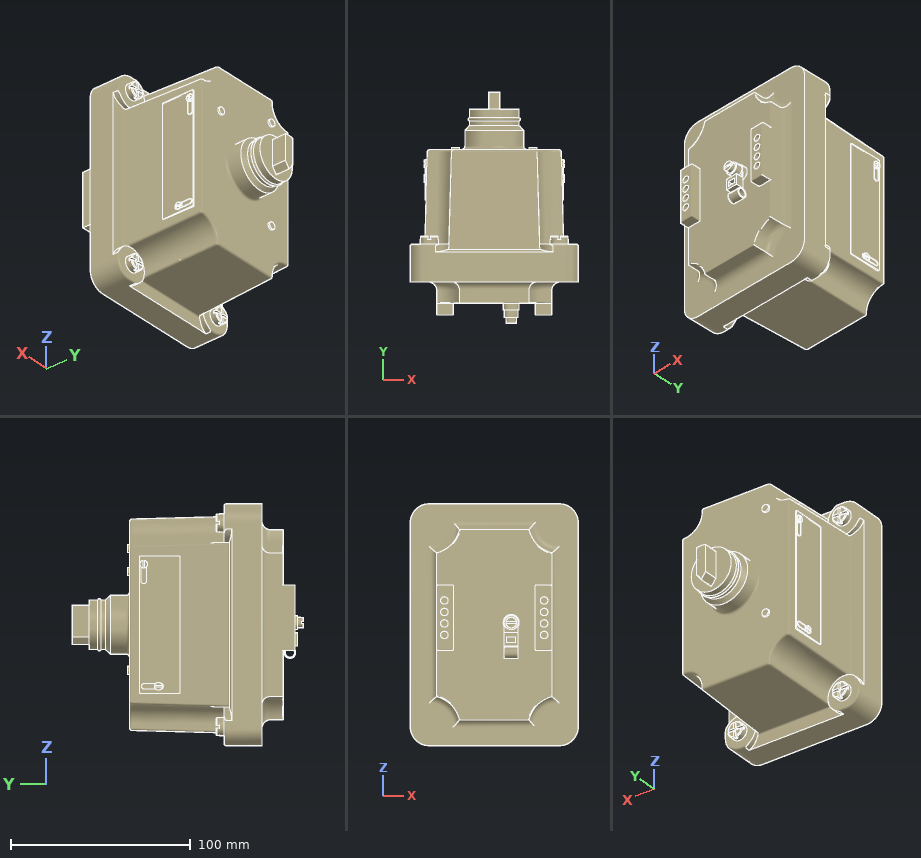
import cadquery as cq
import math

FLANGE_EDGE_Y = 16.9
FLANGE_CREST_Y = 18.1
PAD_Y = 21.2
BODY_REAR_Y = 73.9
COLLAR_REAR_Y = 96.3
SHAFT_REAR_Y = 105.7
BOSS_Y = -11.9
BLOCK_Y = -18.3

FLANGE_X = 93.7
FLANGE_Z = 134.9
CORNER_R = 10.7
CORNER_X = FLANGE_X / 2 - CORNER_R
CORNER_Z = FLANGE_Z / 2 - CORNER_R
FLANGE_SLOPE_RUN = 5.7
PAD_R = 11.2
PAD_ROUND = 1.3
SCREW_R = 5.06
SCREW_HEIGHT = 4.6
SCREW_CHAMFER = 0.5
SCREW_SLOT_WIDTH = 1.5
SCREW_SLOT_DEPTH = 2.2

BODY_X = 77.7
BODY_Z = 120.8
BODY_NOTCH_R = 10.9
BODY_TAPER = 1.5
BODY_EDGE_ROUND = 1.3
BODY_REAR_ROUND = 1.6
BODY_FOOT_ROUND = 1.1

BOSS_X = 64.2
BOSS_Z = 106.0
BOSS_NOTCH_R = 17.3
BOSS_FOOT_ROUND = 4.7
BOSS_EDGE_ROUND = 0.4

BLOCK_WIDTH = 9.3
BLOCK_TOP_Z = 22.3
BLOCK_BOTTOM_Z = -14.4
BLOCK_ROUND = 0.8
BLOCK_FRONT_ROUND = 0.5
SOCKET_COUNT = 4
SOCKET_PITCH = 6.4
SOCKET_R = 2.09
SOCKET_DEPTH = 4.0
SOCKET_INSET = 4.3

EARTH_X = 9.5
EARTH_Z = 1.2
EARTH_BASE_R = 4.5
EARTH_BASE_Y = -15.5
EARTH_HEAD_R = 3.9
EARTH_HEAD_Y = -19.8
EARTH_TIP_R = 3.0
EARTH_TIP_Y = -22.9
EARTH_SLOT_WIDTH = 1.0
EARTH_SLOT_DEPTH = 1.0
TAG_WIDTH = 7.8
TAG_THICKNESS = 0.7
TAG_BOX_TOP_Z = -4.5
TAG_BOX_BOTTOM_Z = -11.9
TAG_WINDOW_X = 5.0
TAG_WINDOW_Z = 3.1
TAG_WINDOW_CENTRE_Z = -8.4
TAG_LOOP_R = 3.2
TAG_LOOP_WALL = 0.7
TAG_LOOP_Z = -15.5

PLATE_FRONT_Y = 45.7
PLATE_REAR_Y = 68.2
PLATE_Z = 76.6
PLATE_PROUD_X = 38.5
PLATE_INNER_X = 35.0
PLATE_CORNER_R = 0.7
SLOT_WIDTH = 3.2
SLOT_DEPTH = 0.4
ADJUSTER_R = 2.2
ADJUSTER_PROUD_X = 39.1
ADJUSTER_GROOVE = 0.8
UPPER_ADJUSTER = (66.0, 33.7)
UPPER_SLOT_LENGTH = 12.4
LOWER_ADJUSTER = (57.7, -34.3)
LOWER_SLOT_LENGTH = 12.1
LOWER_SLOT_REAR_Y = 67.2

STUD_R = 2.3
STUD_HEIGHT = 1.1
STUDS = [(-21.6, 42.5), (21.6, 29.7), (-21.6, -25.4)]

COLLAR_R = 16.5
NECK_R = 13.9
COLLAR_FLARE = 1.8
COLLAR_CONE_Y = 84.4
NECK_Y = 87.3
GROOVE_FRONT_Y = 89.7
GROOVE_REAR_Y = 91.6
GROOVE_DEPTH = 0.7
SHAFT_R = 11.0
SHAFT_WIDTH = 6.3
SHAFT_SHOULDER_Z = -6.9

CORNERS = [(sx * CORNER_X, sz * CORNER_Z) for sx in (-1, 1) for sz in (-1, 1)]


def facing_front(y, x=0, z=0):
    """Work plane at depth y; extruding by a positive length goes toward the front."""
    return cq.Workplane("XZ", origin=(x, y, z))


def disc(radius, rear_y, front_y, x=0, z=0):
    return facing_front(rear_y, x, z).circle(radius).extrude(rear_y - front_y)


def box(x_range, y_range, z_range):
    size = [b - a for a, b in (x_range, y_range, z_range)]
    return cq.Workplane("XY").box(*size, centered=False).translate((x_range[0], y_range[0], z_range[0]))


def notched_outline(y, width, height, notch_r):
    """Rectangle whose corners are hollowed by arcs about the four flange screws."""
    half_x = width / 2
    half_z = height / 2
    flat_x = CORNER_X - math.sqrt(notch_r**2 - (half_z - CORNER_Z) ** 2)
    flat_z = CORNER_Z - math.sqrt(notch_r**2 - (half_x - CORNER_X) ** 2)
    mid_x = CORNER_X - notch_r * math.sqrt(0.5)
    mid_z = CORNER_Z - notch_r * math.sqrt(0.5)
    return (
        facing_front(y)
        .moveTo(-flat_x, half_z)
        .lineTo(flat_x, half_z)
        .threePointArc((mid_x, mid_z), (half_x, flat_z))
        .lineTo(half_x, -flat_z)
        .threePointArc((mid_x, -mid_z), (flat_x, -half_z))
        .lineTo(-flat_x, -half_z)
        .threePointArc((-mid_x, -mid_z), (-half_x, -flat_z))
        .lineTo(-half_x, flat_z)
        .threePointArc((-mid_x, mid_z), (-flat_x, half_z))
        .close()
    )


def make_flange_and_boss():
    """Square-cornered flange with a gently sloped rear face, and the front boss blended into it."""
    flange = facing_front(FLANGE_CREST_Y).rect(FLANGE_X, FLANGE_Z).extrude(FLANGE_CREST_Y)
    flange = flange.faces(">Y").chamfer(FLANGE_CREST_Y - FLANGE_EDGE_Y, FLANGE_SLOPE_RUN)
    boss = notched_outline(0, BOSS_X, BOSS_Z, BOSS_NOTCH_R).extrude(-BOSS_Y)
    boss = boss.faces("<Y").edges().fillet(BOSS_EDGE_ROUND)
    foot = cq.selectors.BoxSelector(
        (-FLANGE_X / 2 + 1.3, -0.1, -FLANGE_Z / 2 + 1.3), (FLANGE_X / 2 - 1.3, 0.1, FLANGE_Z / 2 - 1.3), boundingbox=True
    )
    return flange.union(boss).edges(foot).fillet(BOSS_FOOT_ROUND)


def make_body():
    """Notched body narrowing toward the rear, with rounded edges."""
    outline = notched_outline(0, BODY_X, BODY_Z, BODY_NOTCH_R)
    body = outline.extrude(BODY_REAR_Y - FLANGE_EDGE_Y, taper=BODY_TAPER)
    body = body.rotate((0, 0, 0), (1, 0, 0), 180).translate((0, FLANGE_EDGE_Y, 0))
    between_ends = cq.selectors.BoxSelector(
        (-BODY_X, FLANGE_EDGE_Y + 1.3, -BODY_Z), (BODY_X, BODY_REAR_Y - 1.3, BODY_Z)
    )
    body = body.edges(between_ends).fillet(BODY_EDGE_ROUND)
    return body.faces(">Y").edges().fillet(BODY_REAR_ROUND)


def make_corner_trim():
    """Surplus outside the rounded corners and the rounded rear rim of the screw pads."""
    envelope = facing_front(PAD_Y).rect(FLANGE_X, FLANGE_Z).extrude(PAD_Y).edges("|Y").fillet(CORNER_R)
    envelope = envelope.faces(">Y").edges().fillet(PAD_ROUND)
    margin = PAD_R
    around = facing_front(PAD_Y).rect(FLANGE_X + margin, FLANGE_Z + margin).extrude(PAD_Y)
    return around.cut(envelope)


def make_screw(x, z):
    """Screw head with a cross slot."""
    screw_rear = PAD_Y + SCREW_HEIGHT
    screw = disc(SCREW_R, screw_rear, PAD_Y, x, z).faces(">Y").chamfer(SCREW_CHAMFER)
    slot = facing_front(screw_rear, x, z).rect(SCREW_SLOT_WIDTH, 2 * SCREW_R).extrude(SCREW_SLOT_DEPTH)
    cross_slot = facing_front(screw_rear, x, z).rect(2 * SCREW_R, SCREW_SLOT_WIDTH).extrude(SCREW_SLOT_DEPTH)
    return screw.cut(slot).cut(cross_slot)


def make_block(side):
    """Terminal block at one side edge of the boss; side is -1 or 1."""
    outer = side * BOSS_X / 2
    inner = side * (BOSS_X / 2 - BLOCK_WIDTH)
    block = box(sorted((outer, inner)), (BLOCK_Y, BOSS_Y + BOSS_EDGE_ROUND), (BLOCK_BOTTOM_Z, BLOCK_TOP_Z))
    inner_face = "<X" if side > 0 else ">X"
    block = block.faces(inner_face).edges("|Y").fillet(BLOCK_ROUND)
    block = block.faces("<Y").edges().fillet(BLOCK_FRONT_ROUND)
    first_z = (BLOCK_TOP_Z + BLOCK_BOTTOM_Z - (SOCKET_COUNT - 1) * SOCKET_PITCH) / 2
    socket_x = side * (BOSS_X / 2 - SOCKET_INSET)
    for i in range(SOCKET_COUNT):
        socket = disc(SOCKET_R, BLOCK_Y + SOCKET_DEPTH, BLOCK_Y, socket_x, first_z + i * SOCKET_PITCH)
        block = block.cut(socket)
    return block


def make_earth_terminal():
    screw = disc(EARTH_BASE_R, BOSS_Y, EARTH_BASE_Y, EARTH_X, EARTH_Z)
    screw = screw.union(disc(EARTH_HEAD_R, EARTH_BASE_Y, EARTH_HEAD_Y, EARTH_X, EARTH_Z))
    screw = screw.union(disc(EARTH_TIP_R, EARTH_HEAD_Y, EARTH_TIP_Y, EARTH_X, EARTH_Z))
    screw = screw.cut(
        box(
            (EARTH_X - EARTH_TIP_R, EARTH_X + EARTH_TIP_R),
            (EARTH_TIP_Y, EARTH_TIP_Y + EARTH_SLOT_DEPTH),
            (EARTH_Z - EARTH_SLOT_WIDTH / 2, EARTH_Z + EARTH_SLOT_WIDTH / 2),
        )
    )
    span = (EARTH_X - TAG_WIDTH / 2, EARTH_X + TAG_WIDTH / 2)
    strip = box(span, (EARTH_BASE_Y, EARTH_BASE_Y + TAG_THICKNESS), (TAG_BOX_BOTTOM_Z, EARTH_Z))
    sleeve = box(span, (EARTH_HEAD_Y, EARTH_BASE_Y), (TAG_BOX_BOTTOM_Z, TAG_BOX_TOP_Z))
    window = (
        facing_front(EARTH_BASE_Y, EARTH_X, TAG_WINDOW_CENTRE_Z)
        .rect(TAG_WINDOW_X, TAG_WINDOW_Z)
        .extrude(EARTH_BASE_Y - EARTH_HEAD_Y)
    )
    loop = (
        cq.Workplane("YZ", origin=(span[0], EARTH_BASE_Y, TAG_LOOP_Z))
        .circle(TAG_LOOP_R)
        .extrude(TAG_WIDTH)
    )
    eye = (
        cq.Workplane("YZ", origin=(span[0], EARTH_BASE_Y, TAG_LOOP_Z))
        .circle(TAG_LOOP_R - TAG_LOOP_WALL)
        .extrude(TAG_WIDTH)
    )
    neck = box(
        span,
        (EARTH_BASE_Y - TAG_THICKNESS, EARTH_BASE_Y),
        (TAG_LOOP_Z + TAG_LOOP_R - TAG_LOOP_WALL, TAG_BOX_BOTTOM_Z),
    )
    tag = strip.union(sleeve.cut(window)).union(neck).union(loop).cut(eye)
    return screw.union(tag)


def side_plane(x):
    """Work plane facing +X at the given X; local axes are Y and Z."""
    return cq.Workplane("YZ", origin=(x, 0, 0))


def make_adjuster(place, groove_along_y):
    depth = ADJUSTER_PROUD_X - PLATE_INNER_X
    head = side_plane(PLATE_INNER_X).center(*place).circle(ADJUSTER_R).extrude(depth)
    length = 2 * ADJUSTER_R
    size = (length, ADJUSTER_GROOVE) if groove_along_y else (ADJUSTER_GROOVE, length)
    groove = side_plane(PLATE_PROUD_X).center(*place).rect(*size).extrude(depth)
    return head.cut(groove)


def make_side_plate():
    """Raised plate on the +X side, with an upright slot and a lengthwise slot."""
    plate = box((PLATE_INNER_X, PLATE_PROUD_X), (PLATE_FRONT_Y, PLATE_REAR_Y), (-PLATE_Z / 2, PLATE_Z / 2))
    plate = plate.edges("|X").fillet(PLATE_CORNER_R)
    floor_x = PLATE_PROUD_X - SLOT_DEPTH
    upper_y, upper_z = UPPER_ADJUSTER
    upper_mid_z = upper_z + SLOT_WIDTH / 2 - UPPER_SLOT_LENGTH / 2
    upper_slot = side_plane(floor_x).center(upper_y, upper_mid_z).slot2D(UPPER_SLOT_LENGTH, SLOT_WIDTH, 90)
    lower_mid_y = LOWER_SLOT_REAR_Y - LOWER_SLOT_LENGTH / 2
    lower_slot = side_plane(floor_x).center(lower_mid_y, LOWER_ADJUSTER[1]).slot2D(LOWER_SLOT_LENGTH, SLOT_WIDTH)
    plate = plate.cut(upper_slot.extrude(SLOT_DEPTH)).cut(lower_slot.extrude(SLOT_DEPTH))
    plate = plate.union(make_adjuster(UPPER_ADJUSTER, False))
    return plate.union(make_adjuster(LOWER_ADJUSTER, True))


def make_collar():
    """Turned collar with a conical shoulder, a round groove and a flared foot."""
    flare_start = BODY_REAR_Y + COLLAR_FLARE
    return (
        cq.Workplane("XY")
        .moveTo(0, BODY_REAR_Y)
        .lineTo(COLLAR_R + COLLAR_FLARE, BODY_REAR_Y)
        .radiusArc((COLLAR_R, flare_start), COLLAR_FLARE)
        .lineTo(COLLAR_R, COLLAR_CONE_Y)
        .lineTo(NECK_R, NECK_Y)
        .lineTo(NECK_R, GROOVE_FRONT_Y)
        .sagittaArc((NECK_R, GROOVE_REAR_Y), -GROOVE_DEPTH)
        .lineTo(NECK_R, COLLAR_REAR_Y)
        .lineTo(0, COLLAR_REAR_Y)
        .close()
        .revolve(360, (0, 0, 0), (0, 1, 0))
    )


def make_housing():
    housing = make_flange_and_boss().union(make_body())
    reach_x = BODY_X / 2 + 0.1
    reach_z = BODY_Z / 2 + 0.1
    foot = cq.selectors.BoxSelector(
        (-reach_x, FLANGE_CREST_Y - 0.1, -reach_z), (reach_x, FLANGE_CREST_Y + 0.1, reach_z), boundingbox=True
    )
    housing = housing.edges(foot).fillet(BODY_FOOT_ROUND)
    for x, z in CORNERS:
        housing = housing.union(disc(PAD_R, PAD_Y, 0, x, z))
    housing = housing.cut(make_corner_trim())
    for x, z in CORNERS:
        housing = housing.union(make_screw(x, z))
    housing = housing.union(make_collar())
    for side in (-1, 1):
        housing = housing.union(make_block(side))
    plate = make_side_plate()
    housing = housing.union(plate).union(plate.mirror("YZ"))
    for x, z in STUDS:
        housing = housing.union(disc(STUD_R, BODY_REAR_Y + STUD_HEIGHT, BODY_REAR_Y, x, z))
    return housing.union(make_earth_terminal())


def make_shaft():
    """Flat-sided shaft end, round on top and pointed at the bottom."""
    half = SHAFT_WIDTH / 2
    round_z = math.sqrt(SHAFT_R**2 - half**2)
    return (
        facing_front(SHAFT_REAR_Y)
        .moveTo(-half, round_z)
        .threePointArc((0, SHAFT_R), (half, round_z))
        .lineTo(half, SHAFT_SHOULDER_Z)
        .lineTo(0, -SHAFT_R)
        .lineTo(-half, SHAFT_SHOULDER_Z)
        .close()
        .extrude(SHAFT_REAR_Y - COLLAR_REAR_Y)
    )


housing = make_housing()
shaft = make_shaft()
result = cq.Compound.makeCompound([housing.val(), shaft.val()])